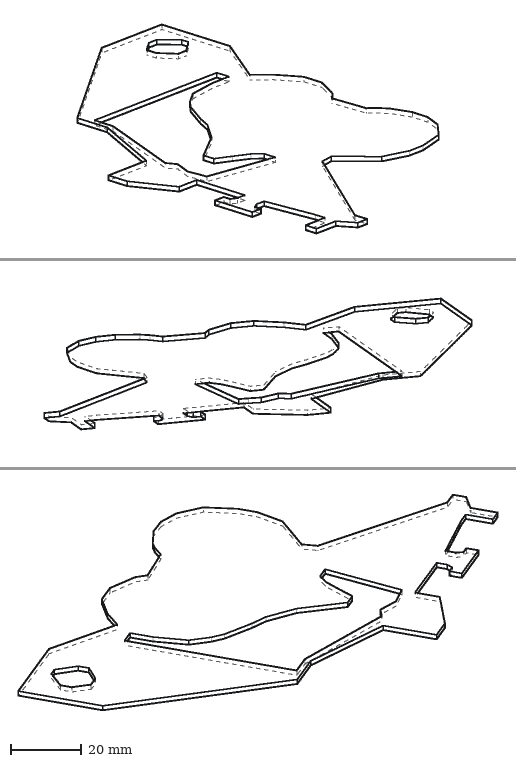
import cadquery as cq

length = 149.3
width = 101.2
thickness = 1.5

belly_y = 14.0
block_left = 70.8
block_right = 92.0
block_chamfer_x = 78.0
block_chamfer_y = 6.5
snout_bottom_y = 28.7

foot_center = 114.0
foot_base_width = 14.3
foot_base_bottom = 5.2
foot_base_top = 9.0
foot_flare_top = 10.9
foot_flare_width = 9.5
foot_neck_width = 7.5

peg_left = 139.6
peg_width = 4.2
peg_bottom = 7.5
peg_root = 15.7
peg_right = peg_left + peg_width


def plate(points):
    """Extrude a closed outline to the full plate thickness."""
    return cq.Workplane("XY").polyline(points).close().extrude(thickness)


def body():
    """Snout, faceted heart, pointed wing and lower block in one outline."""
    snout = [
        (33.0, snout_bottom_y),
        (0, 75.7),
        (0, width),
        (26.1, width),
    ]
    left_lobe = [
        (46.0, 87.6),
        (50.9, 92.3),
        (58.4, 96.7),
        (65.4, 96.7),
        (73.8, 92.1),
        (76.0, 89.1),
    ]
    right_lobe = [
        (88.7, 89.7),
        (91.5, 92.4),
        (94.0, 94.0),
        (100.6, 96.1),
        (106.6, 96.0),
        (112.7, 93.5),
        (118.5, 87.5),
        (121.1, 78.0),
        (121.1, 72.1),
        (118.4, 63.5),
        (107.6, 53.9),
    ]
    wing = [
        (108.4, 49.3),
        (144.5, 23.0),
        (length, 23.0),
        (length, 19.0),
        (peg_right, peg_root),
        (peg_left, peg_root),
        (135.9, peg_root),
        (foot_center + foot_neck_width / 2, belly_y),
        (block_right, belly_y),
    ]
    lower_block = [
        (block_right, block_chamfer_y),
        (block_chamfer_x, 0),
        (block_left, 0),
        (block_left, 16.1),
        (44.5, snout_bottom_y),
    ]
    return plate(snout + left_lobe + right_lobe + wing + lower_block)


def foot():
    """Flared neck on a rectangular base, overlapping into the wing."""
    right_side = [
        (foot_base_width / 2, foot_base_bottom),
        (foot_base_width / 2, foot_base_top),
        (foot_flare_width / 2, foot_base_top),
        (foot_neck_width / 2, foot_flare_top),
        (foot_neck_width / 2, belly_y),
    ]
    right = [(foot_center + x, y) for x, y in right_side]
    left = [(foot_center - x, y) for x, y in reversed(right_side)]
    return plate(right + left)


def peg():
    """Rectangular peg hanging below the wing tip."""
    return plate(
        [
            (peg_left, peg_bottom),
            (peg_right, peg_bottom),
            (peg_right, peg_root),
            (peg_left, peg_root),
        ]
    )


def eye():
    """Eight-sided through hole in the snout."""
    return plate(
        [
            (12.7, 95.7),
            (15.2, 95.7),
            (19.4, 90.0),
            (19.4, 86.7),
            (14.3, 83.0),
            (10.6, 83.0),
            (7.3, 87.6),
            (7.3, 91.0),
        ]
    )


def window():
    """Large through opening between the snout, the heart and the lower strip."""
    slot_left = 37.9
    slot_right = 42.5
    slot_top = 82.5
    strip_top = 30.6
    heart_tip_y = 30.2
    notch_y = 42.7
    heart_edge = [
        (slot_right, slot_top),
        (slot_right, 75.7),
        (44.2, 65.4),
        (47.9, 60.0),
        (50.9, 57.0),
        (59.3, 51.8),
        (64.3, 49.3),
        (71.8, 42.7),
        (80.0, heart_tip_y),
        (84.0, heart_tip_y),
        (86.6, 35.1),
        (89.3, 40.0),
        (92.0, notch_y),
        (96.1, notch_y),
    ]
    lower_edge = [
        (92.1, 18.0),
        (89.3, 17.9),
        (85.4, 17.5),
        (79.3, 20.0),
        (76.0, 18.4),
        (45.0, strip_top),
        (slot_left, strip_top),
        (slot_left, slot_top),
    ]
    return plate(heart_edge + lower_edge)


result = body().union(foot()).union(peg()).cut(eye()).cut(window())